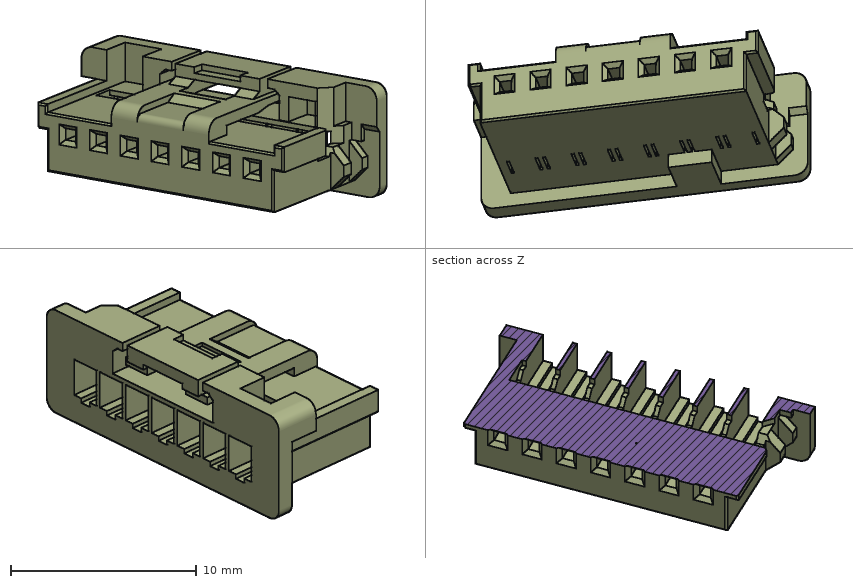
import cadquery as cq


WIDTH = 18.0
DEPTH = 8.55
HEIGHT = 6.3

BODY_HALF = 7.36
BODY_BOTTOM = 0.81
BODY_TOP = 4.12
RAIL_OUTER = 8.01
RAIL_BOTTOM = 3.15
RAIL_TOP = 4.57
FRONT_CHAMFER = 0.1
RAIL_EDGE_CHAMFER = 0.1

FLANGE_FRONT = 7.56
FLANGE_RECESS_FRONT = 7.85
FLANGE_RECESS_TOP = 3.78
CORNER_RADIUS = 0.72
WING_FRONT = 5.76
WING_INNER = 3.11
WING_CHAMFER_START = 3.55
WALL_INNER = 3.89
LIP_BOTTOM = 5.8
WING_CHAMFER_BOTTOM = 5.49
LEFT_POCKET_INNER = 5.0
RIGHT_WING_OUTER = 6.98
RIGHT_CHAMFER_START = 6.34
RIGHT_POCKET = (4.48, 6.23)
RIGHT_POCKET_TOP = 5.53

RIB_START = 1.82
RIB_END = 4.21
RIB_FRONT = 5.55
LUG_OUTER = 8.2
LUG_DEPTH = 0.72
REAR_LUG_FRONT = 7.33

CONTACTS = 7
PITCH = 2.0
PIN_HEIGHT = 3.02
PIN_HALF = 0.32
PIN_MOUTH_HALF = 0.58
PIN_MOUTH_TAPER = 45.0
CELL_HALF = 0.86
TONGUE_HALF = 0.72
CELL_FLOOR = 1.65
GROOVE_FLOOR = 1.39
CELL_ROOF = 3.83
SLIT_END = 5.55

WINDOW_FRONT = 4.35
WINDOW_REAR = 5.65
WINDOW_LEFT = -7.1
WEB_LOW = 2.7
WEB_SLOPE_START = 5.38
WEB_SLOPE_END = 5.76
WEB_CUT_REAR = 6.12
RAIL_CORNER_RADIUS = 0.32

LATCH_HALF = 3.17
LATCH_TOP = 5.3
LATCH_RADIUS = 0.77
LATCH_ROOT = 1.75
LATCH_ROOT_BOTTOM = 3.78
LATCH_UNDERSIDE = 4.65
LATCH_REAR_UNDERSIDE = 4.85
LATCH_BEND = 4.82
LATCH_END = 8.26
LATCH_SLOT_HALF = 1.5
LATCH_SLOT_FRONT = 4.68
RECESS_FLOOR = 4.91
RECESS_SLOPE_START = 2.99
RECESS_SLOPE_END = 3.58
STEP_FRONT = 4.14
STEP_FLOOR = 5.08
RECESS_RADIUS = 0.4
PAD_HALF = 2.74
PAD_FRONT = 5.55
PAD_BOTTOM = 5.6
PAD_RAMP_START = 4.93
PAD_NOTCH_REAR = 6.26
PAD_NOTCH_FLOOR = 5.95


def block(x0, x1, y0, y1, z0, z1):
    """Box between two opposite corners."""
    return cq.Workplane("XY").box(x1 - x0, y1 - y0, z1 - z0, centered=False).translate((x0, y0, z0))


def along_y(points, y0, y1):
    """Extrude an (x, z) outline from y0 to y1."""
    return cq.Workplane("XZ", origin=(0, y0, 0)).polyline(points).close().extrude(y0 - y1)


def along_x(points, x0, x1):
    """Extrude a (y, z) outline from x0 to x1."""
    return cq.Workplane("YZ", origin=(x0, 0, 0)).polyline(points).close().extrude(x1 - x0)


def make_body():
    right_side = [
        (BODY_HALF, BODY_BOTTOM),
        (BODY_HALF, RAIL_BOTTOM),
        (RAIL_OUTER, RAIL_BOTTOM),
        (RAIL_OUTER, RAIL_TOP),
        (BODY_HALF, RAIL_TOP),
        (BODY_HALF, BODY_TOP),
    ]
    left_side = [(-x, z) for x, z in reversed(right_side)]
    body = along_y(right_side + left_side, 0, DEPTH)
    lower_edge = cq.selectors.NearestToPointSelector((-RAIL_OUTER, DEPTH / 2, RAIL_BOTTOM))
    body = body.edges("|Y").edges(lower_edge).chamfer(RAIL_EDGE_CHAMFER)
    body = body.faces("<Y").chamfer(FRONT_CHAMFER)
    rail_gap = block(BODY_HALF, WIDTH / 2, WINDOW_FRONT, FLANGE_FRONT, RAIL_BOTTOM, HEIGHT)
    body = body.cut(rail_gap)
    rail_end = cq.selectors.NearestToPointSelector((RAIL_OUTER, WINDOW_FRONT, (RAIL_BOTTOM + RAIL_TOP) / 2))
    return body.edges("|Z").edges(rail_end).fillet(RAIL_CORNER_RADIUS)


def make_flange_and_wings():
    shell = block(-WIDTH / 2, WIDTH / 2, WING_FRONT, DEPTH, 0, HEIGHT)
    shell = shell.edges("|Y").fillet(CORNER_RADIUS)
    shell = shell.cut(block(-WIDTH / 2, WIDTH / 2, WING_FRONT, FLANGE_FRONT, 0, BODY_TOP))
    shell = shell.cut(block(-WIDTH / 2, -BODY_HALF, WING_FRONT, FLANGE_FRONT, 0, RAIL_TOP))
    shell = shell.cut(block(RIGHT_WING_OUTER, WIDTH / 2, WING_FRONT, FLANGE_FRONT, 0, HEIGHT))
    right_edge = [
        (WALL_INNER, BODY_TOP),
        (WALL_INNER, WING_CHAMFER_BOTTOM),
        (WING_CHAMFER_START, LIP_BOTTOM),
        (WING_INNER, LIP_BOTTOM),
        (WING_INNER, HEIGHT),
    ]
    left_edge = [(-x, z) for x, z in reversed(right_edge)]
    shell = shell.cut(along_y(right_edge + left_edge, WING_FRONT, DEPTH))
    shell = shell.cut(block(-BODY_HALF, -LEFT_POCKET_INNER, WING_FRONT, FLANGE_FRONT, BODY_TOP, HEIGHT))
    shell = shell.cut(block(*RIGHT_POCKET, WING_FRONT, FLANGE_FRONT, BODY_TOP, RIGHT_POCKET_TOP))
    recess = [
        (FLANGE_FRONT, 0),
        (FLANGE_RECESS_FRONT, 0),
        (FLANGE_RECESS_FRONT, FLANGE_RECESS_TOP),
        (FLANGE_FRONT, BODY_TOP),
    ]
    return shell.cut(along_x(recess, RIB_END, WIDTH / 2))


def make_rib():
    return block(RIB_START, RIB_END, RIB_FRONT, DEPTH, 0, BODY_BOTTOM)


def make_lug(y0, y1):
    """Side lug with 45 degree flanks on the right wall."""
    reach = LUG_OUTER - BODY_HALF
    outline = [
        (BODY_HALF, BODY_BOTTOM),
        (LUG_OUTER, BODY_BOTTOM + reach),
        (LUG_OUTER, RAIL_BOTTOM - reach),
        (BODY_HALF, RAIL_BOTTOM),
    ]
    return along_y(outline, y0, y1)


def make_latch():
    arm = (
        cq.Workplane("YZ", origin=(-LATCH_HALF, 0, 0))
        .moveTo(0, LATCH_ROOT_BOTTOM)
        .lineTo(0, LATCH_TOP - LATCH_RADIUS)
        .radiusArc((LATCH_RADIUS, LATCH_TOP), LATCH_RADIUS)
        .lineTo(LATCH_END, LATCH_TOP)
        .lineTo(LATCH_END, LATCH_REAR_UNDERSIDE)
        .lineTo(WING_FRONT, LATCH_REAR_UNDERSIDE)
        .lineTo(LATCH_BEND, LATCH_UNDERSIDE)
        .lineTo(LATCH_ROOT, LATCH_UNDERSIDE)
        .lineTo(LATCH_ROOT, LATCH_ROOT_BOTTOM)
        .close()
        .extrude(2 * LATCH_HALF)
    )
    pad_profile = [
        (PAD_RAMP_START, LATCH_TOP),
        (PAD_FRONT, PAD_BOTTOM),
        (PAD_FRONT, HEIGHT),
        (DEPTH, HEIGHT),
        (DEPTH, LATCH_TOP),
    ]
    latch = arm.union(along_x(pad_profile, -PAD_HALF, PAD_HALF))
    slot = LATCH_SLOT_HALF
    latch = latch.cut(block(-slot, slot, LATCH_SLOT_FRONT, DEPTH, LATCH_UNDERSIDE, PAD_BOTTOM))
    latch = latch.cut(block(-slot, slot, STEP_FRONT, LATCH_SLOT_FRONT, STEP_FLOOR, LATCH_TOP))
    latch = latch.cut(block(-slot, slot, PAD_FRONT, PAD_NOTCH_REAR, PAD_NOTCH_FLOOR, HEIGHT))
    finger_recess = (
        cq.Workplane("YZ", origin=(-slot, 0, 0))
        .moveTo(0, RECESS_FLOOR - RECESS_RADIUS)
        .radiusArc((RECESS_RADIUS, RECESS_FLOOR), RECESS_RADIUS)
        .lineTo(RECESS_SLOPE_START, RECESS_FLOOR)
        .lineTo(RECESS_SLOPE_END, LATCH_TOP)
        .lineTo(0, LATCH_TOP)
        .close()
        .extrude(2 * slot)
    )
    return latch.cut(finger_recess)


def make_contact_cut(x):
    """Flared pin hole, wire cell open at the rear, and two slits through the floor."""
    mouth = (
        cq.Workplane("XZ", origin=(x, 0, PIN_HEIGHT))
        .rect(2 * PIN_MOUTH_HALF, 2 * PIN_MOUTH_HALF)
        .extrude(-(PIN_MOUTH_HALF - PIN_HALF), taper=PIN_MOUTH_TAPER)
    )
    pin = block(x - PIN_HALF, x + PIN_HALF, 0, DEPTH, PIN_HEIGHT - PIN_HALF, PIN_HEIGHT + PIN_HALF)
    cell = block(x - CELL_HALF, x + CELL_HALF, WINDOW_FRONT, DEPTH, CELL_FLOOR, CELL_ROOF)
    groove = block(x - PIN_HALF, x + PIN_HALF, WINDOW_FRONT, DEPTH, GROOVE_FLOOR, CELL_FLOOR)
    cut = mouth.union(pin).union(cell).union(groove)
    for x0 in (x - CELL_HALF, x + TONGUE_HALF):
        slit_width = CELL_HALF - TONGUE_HALF
        cut = cut.union(block(x0, x0 + slit_width, WINDOW_FRONT, SLIT_END, 0, CELL_FLOOR))
    return cut


def make_window_cut():
    """Opening in the body top that also lowers the webs between the cells."""
    profile = [
        (WINDOW_FRONT, WEB_LOW),
        (WEB_SLOPE_START, WEB_LOW),
        (WEB_SLOPE_END, RAIL_BOTTOM),
        (WEB_CUT_REAR, RAIL_BOTTOM),
        (WEB_CUT_REAR, CELL_ROOF),
        (WINDOW_REAR, CELL_ROOF),
        (WINDOW_REAR, BODY_TOP),
        (WINDOW_FRONT, BODY_TOP),
    ]
    return along_x(profile, WINDOW_LEFT, WIDTH / 2)


def make_corner_cut():
    """45 degree bevel across the front right corner of the wing and the body below it."""
    outer = WIDTH / 2
    outline = [
        (RIGHT_CHAMFER_START, WINDOW_REAR),
        (RIGHT_CHAMFER_START, WING_FRONT),
        (BODY_HALF, WING_FRONT + BODY_HALF - RIGHT_CHAMFER_START),
        (outer, WING_FRONT + BODY_HALF - RIGHT_CHAMFER_START),
        (outer, WINDOW_REAR),
    ]
    base = cq.Workplane("XY", origin=(0, 0, RAIL_BOTTOM))
    return base.polyline(outline).close().extrude(HEIGHT - RAIL_BOTTOM)


housing = make_body().union(make_flange_and_wings()).union(make_rib())
housing = housing.union(make_lug(RIB_FRONT, RIB_FRONT + LUG_DEPTH))
housing = housing.union(make_lug(REAR_LUG_FRONT, DEPTH))
for index in range(CONTACTS):
    housing = housing.cut(make_contact_cut((index - (CONTACTS - 1) / 2) * PITCH))
housing = housing.cut(make_window_cut()).cut(make_corner_cut())

result = housing.union(make_latch())